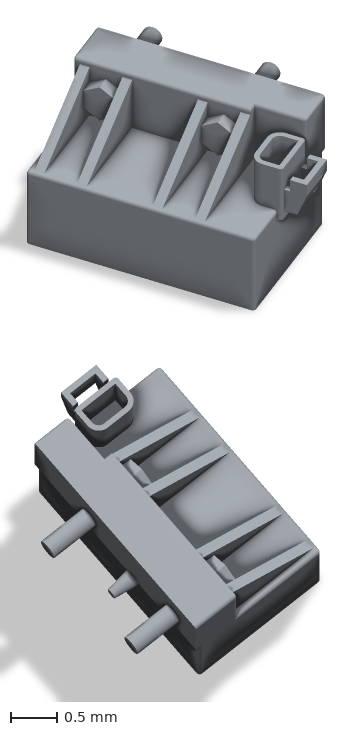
import cadquery as cq
import math

HOUSING_WIDTH = 2.745
HOUSING_HEIGHT = 1.73
SHELF_HEIGHT = 0.992
WALL_FRONT = 1.177
WALL_BACK = 1.76
WALL_OVERHANG = 0.043
STEP_DEPTH = 0.108
EDGE_RADIUS = 0.043

BOLT_PITCH = 1.417
FIRST_BOLT_X = 0.397
BOLT_HEIGHT = 1.33
BOLT_END = 2.34
SHANK_DIAMETER = 0.23
HEAD_FLATS = 0.395
HEAD_THICKNESS = 0.16
HEAD_SIDES = 6
BOLT_COUNT = 2

RIB_THICKNESS = 0.117
RIB_HEIGHT = 1.657

PEG_HEIGHT = 0.86
PEG_END = 2.033
PEG_BASE_DIAMETER = 0.2
PEG_TIP_DIAMETER = 0.12

SOCKET_LEFT = 2.412
SOCKET_RIGHT = 2.805
SOCKET_FRONT = 0.56
SOCKET_BACK = 1.158
SOCKET_BOTTOM = 0.865
SOCKET_TOP = 1.568
SOCKET_WALL = 0.062
SOCKET_LEFT_RADIUS = 0.155
SOCKET_RIGHT_RADIUS = 0.04

LATCH_RIGHT = 3.08
LATCH_LIP_X = 2.877
LATCH_TOE_X = 2.963
LATCH_BOTTOM = 0.97
LATCH_SHOULDER = 1.263
LATCH_TOP = 1.417
LATCH_WIDTH = 0.495
LATCH_BAR = 0.07

TOLERANCE = 0.0003

bolt_positions = [FIRST_BOLT_X + i * BOLT_PITCH for i in range(BOLT_COUNT)]
rib_offset = (HEAD_FLATS + RIB_THICKNESS) / 2
step_x = bolt_positions[-1] + rib_offset + RIB_THICKNESS / 2
step_front = WALL_FRONT + STEP_DEPTH
block_back = WALL_BACK - WALL_OVERHANG
peg_x = sum(bolt_positions) / 2
socket_mid_y = (SOCKET_FRONT + SOCKET_BACK) / 2


def box(x_range, y_range, z_range):
    """Axis-aligned box between the given limits."""
    size = [high - low for low, high in (x_range, y_range, z_range)]
    corner = (x_range[0], y_range[0], z_range[0])
    return cq.Workplane("XY").box(*size, centered=False).translate(corner)


def cylinder_along_y(x, z, diameter, y_start, y_end):
    """Round bar running in +Y from y_start to y_end."""
    plane = cq.Workplane("XZ", origin=(x, y_start, z))
    return plane.circle(diameter / 2).extrude(y_start - y_end)


def make_housing_block():
    """Shelf and wall with rounded outer edges; the bottom and back edges stay sharp."""
    block = (
        cq.Workplane("YZ")
        .moveTo(0, 0)
        .lineTo(block_back, 0)
        .lineTo(block_back, SHELF_HEIGHT)
        .lineTo(WALL_BACK, SHELF_HEIGHT)
        .lineTo(WALL_BACK, HOUSING_HEIGHT)
        .lineTo(WALL_FRONT, HOUSING_HEIGHT)
        .lineTo(WALL_FRONT, SHELF_HEIGHT)
        .lineTo(0, SHELF_HEIGHT)
        .close()
        .extrude(HOUSING_WIDTH)
    )
    block = block.cut(
        box((step_x, HOUSING_WIDTH), (WALL_FRONT, step_front), (SHELF_HEIGHT, HOUSING_HEIGHT))
    )

    def is_rounded(edge):
        center = edge.Center()
        on_side = min(center.x, HOUSING_WIDTH - center.x) < TOLERANCE
        vertical = edge.BoundingBox().zlen > TOLERANCE
        if vertical:
            return on_side and center.y < WALL_BACK - TOLERANCE
        on_top = center.z > HOUSING_HEIGHT - TOLERANCE
        on_shelf = abs(center.z - SHELF_HEIGHT) < TOLERANCE
        if on_top:
            return center.y < WALL_BACK - TOLERANCE
        return on_shelf and (center.y < TOLERANCE or on_side and center.y < step_front - TOLERANCE)

    rounded = [edge for edge in block.edges().vals() if is_rounded(edge)]
    return block.newObject(rounded).fillet(EDGE_RADIUS)


def make_rib(center_x):
    """Triangular rib from the wall down to the front of the shelf."""
    return (
        cq.Workplane("YZ", origin=(center_x - RIB_THICKNESS / 2, 0, 0))
        .moveTo(EDGE_RADIUS, SHELF_HEIGHT)
        .lineTo(WALL_FRONT, SHELF_HEIGHT)
        .lineTo(WALL_FRONT, RIB_HEIGHT)
        .close()
        .extrude(RIB_THICKNESS)
    )


def make_peg():
    """Tapered peg with a short straight root that spans the depth of the overhang."""
    root = cylinder_along_y(peg_x, PEG_HEIGHT, PEG_BASE_DIAMETER, block_back, WALL_BACK)
    taper = (
        cq.Workplane("XZ", origin=(peg_x, WALL_BACK, PEG_HEIGHT))
        .circle(PEG_BASE_DIAMETER / 2)
        .workplane(offset=WALL_BACK - PEG_END)
        .circle(PEG_TIP_DIAMETER / 2)
        .loft()
    )
    return root.union(taper)


def make_socket():
    """Cup body with large corner rounds on the left and small ones on the right."""
    cup = box((SOCKET_LEFT, SOCKET_RIGHT), (SOCKET_FRONT, SOCKET_BACK), (SOCKET_BOTTOM, SOCKET_TOP))
    cup = cup.edges("|Z and <X").fillet(SOCKET_LEFT_RADIUS)
    return cup.edges("|Z and >X").fillet(SOCKET_RIGHT_RADIUS)


def make_socket_pocket():
    """Hollow of the cup, level with the shelf at its floor."""
    pocket = box(
        (SOCKET_LEFT + SOCKET_WALL, SOCKET_RIGHT - SOCKET_WALL),
        (SOCKET_FRONT + SOCKET_WALL, SOCKET_BACK - SOCKET_WALL),
        (SHELF_HEIGHT, SOCKET_TOP),
    )
    return pocket.edges("|Z and <X").fillet(SOCKET_LEFT_RADIUS - SOCKET_WALL)


def make_latch():
    """Hooked loop: a side profile with a vertical slot between its two arms."""
    hook = (
        cq.Workplane("XZ", origin=(0, socket_mid_y, 0))
        .moveTo(SOCKET_RIGHT, LATCH_BOTTOM)
        .lineTo(LATCH_TOE_X, LATCH_BOTTOM)
        .lineTo(LATCH_RIGHT, LATCH_SHOULDER)
        .lineTo(LATCH_RIGHT, LATCH_TOP)
        .lineTo(LATCH_LIP_X, LATCH_TOP)
        .lineTo(LATCH_LIP_X, LATCH_SHOULDER)
        .lineTo(SOCKET_RIGHT, LATCH_SHOULDER)
        .close()
        .extrude(LATCH_WIDTH / 2, both=True)
    )
    slot_half = LATCH_WIDTH / 2 - LATCH_BAR
    slot = box(
        (SOCKET_RIGHT, LATCH_RIGHT - LATCH_BAR),
        (socket_mid_y - slot_half, socket_mid_y + slot_half),
        (LATCH_BOTTOM, LATCH_TOP),
    )
    return hook.cut(slot)


def make_housing():
    """Block, ribs, peg, socket and latch as one solid, bored for the bolt shanks."""
    housing = make_housing_block().union(make_socket()).cut(make_socket_pocket())
    housing = housing.union(make_latch()).union(make_peg())
    for bolt_x in bolt_positions:
        for side in (-1, 1):
            housing = housing.union(make_rib(bolt_x + side * rib_offset))
        housing = housing.cut(
            cylinder_along_y(bolt_x, BOLT_HEIGHT, SHANK_DIAMETER, WALL_FRONT, WALL_BACK)
        )
    return housing


def make_bolt(bolt_x):
    """Hex-head bolt with its head against the wall face and corners up and down."""
    corner_diameter = HEAD_FLATS / math.cos(math.pi / HEAD_SIDES)
    head = (
        cq.Workplane("XZ", origin=(bolt_x, WALL_FRONT, BOLT_HEIGHT))
        .transformed(rotate=(0, 0, 90))
        .polygon(HEAD_SIDES, corner_diameter)
        .extrude(HEAD_THICKNESS)
    )
    shank = cylinder_along_y(bolt_x, BOLT_HEIGHT, SHANK_DIAMETER, WALL_FRONT, BOLT_END)
    return head.union(shank)


housing = make_housing()
bolts = [make_bolt(bolt_x) for bolt_x in bolt_positions]

result = cq.Compound.makeCompound([housing.val(), *[bolt.val() for bolt in bolts]])